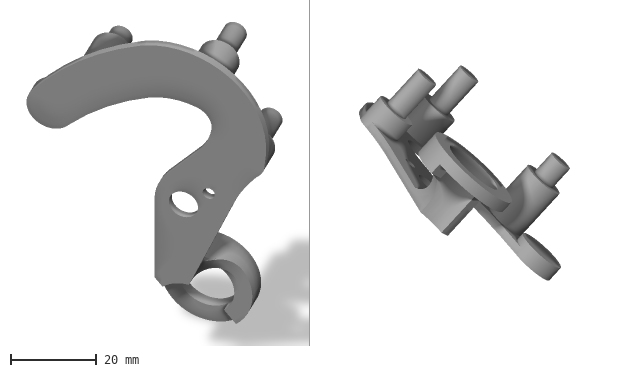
import cadquery as cq
import math

PLATE_THICKNESS = 2.0

RING_OUTER_RADIUS = 12.0
RING_BORE_RADIUS = 7.5
RING_BACK_Y = 18.0
THIN_RING_FRONT_Y = 15.0
THICK_RING_FRONT_Y = 12.0
CLEARANCE_RADIUS = 9.0

ARM_LEFT_X = -7.94
ARM_CORNER_Z = math.sqrt(RING_OUTER_RADIUS**2 - ARM_LEFT_X**2)
ARM_EDGE_LOW = (0.62, CLEARANCE_RADIUS)
ARM_EDGE_HIGH = (12.0, 36.3)

SIDE_BLEND_RADIUS = THICK_RING_FRONT_Y - PLATE_THICKNESS
BACK_BLEND_RADIUS = 7.5
BACK_BLEND_LEFT_LENGTH = RING_BACK_Y - PLATE_THICKNESS
BACK_BLEND_LEFT_HEIGHT = 12.6
BACK_BLEND_RIGHT_X = 4.0
BACK_BLEND_LEFT_STEPS = 4

BEND_RADIUS = 23.6
BEND_CENTER = (-3.73, 53.42)
TIP_RADIUS = 6.0
TIP_CENTER = (-33.85, 51.85)
TIP_THICKNESS = 4.0

HOLES = [
    (-0.75, 32.1, 7.25),
    (5.55, 36.9, 3.0),
]

PIN_SHOULDER_DIAMETER = 10.0
PIN_DIAMETER = 5.7
PINS = [
    (-24.15, 60.2, 15.5, 21.5),
    (4.35, 68.8, 10.6, 21.3),
    (14.5, 48.8, 7.1, 17.9),
]

REACH = 40.0


def front_sketch(y=0):
    """Workplane at a y position whose local axes are X and Z; a negative extrusion runs toward +Y."""
    return cq.Workplane(cq.Plane(origin=(0, y, 0), xDir=(1, 0, 0), normal=(0, -1, 0)))


def cylinder(x, z, radius, y_start, y_end):
    """Cylinder parallel to Y between two y positions."""
    return front_sketch(y_start).center(x, z).circle(radius).extrude(y_start - y_end)


def bend_point(angle):
    """Point on the outer hook bend, angle in degrees from +X."""
    a = math.radians(angle)
    return (BEND_CENTER[0] + BEND_RADIUS * math.cos(a), BEND_CENTER[1] + BEND_RADIUS * math.sin(a))


def tip_point(angle):
    """Point on the round hook tip, angle in degrees from +X."""
    a = math.radians(angle)
    return (TIP_CENTER[0] + TIP_RADIUS * math.cos(a), TIP_CENTER[1] + TIP_RADIUS * math.sin(a))


def hook_plate():
    outline = (
        front_sketch()
        .moveTo(ARM_LEFT_X, ARM_CORNER_Z)
        .lineTo(0, 0)
        .lineTo(ARM_EDGE_LOW[0], 0)
        .lineTo(*ARM_EDGE_LOW)
        .lineTo(*ARM_EDGE_HIGH)
        .threePointArc((14.8, 41.3), bend_point(-18))
        .threePointArc(bend_point(45), bend_point(106.5))
        .lineTo(-12.1, 75.4)
        .threePointArc((-26.5, 67.35), tip_point(141))
        .threePointArc(tip_point(230), tip_point(-39))
        .threePointArc((-19.5, 55.9), (-8.9, 61.25))
        .threePointArc((-3.0, 62.15), (2.5, 61.3))
        .threePointArc((5.5, 59.0), (6.3, 56.2))
        .threePointArc((5.15, 52.2), (2.0, 47.6))
        .lineTo(-4.9, 39.9)
        .tangentArcPoint((ARM_LEFT_X, 32.3), relative=False)
        .close()
    )
    plate = outline.extrude(-PLATE_THICKNESS)
    plate = plate.union(cylinder(*TIP_CENTER, TIP_RADIUS, 0, TIP_THICKNESS))
    for x, z, diameter in HOLES:
        plate = plate.cut(cylinder(x, z, diameter / 2, 0, PLATE_THICKNESS))
    return plate


def stepped_pins():
    pins = cq.Workplane()
    for x, z, shoulder_end, pin_end in PINS:
        shoulder = cylinder(x, z, PIN_SHOULDER_DIAMETER / 2, 0, shoulder_end)
        pins = pins.add(shoulder.union(cylinder(x, z, PIN_DIAMETER / 2, 0, pin_end)))
    return pins.combine()


def back_blend_section(x):
    """Section at x: concave elliptic arc from the plate down to the top of the ring."""
    left_share = max(0, x / ARM_LEFT_X)
    length = BACK_BLEND_RADIUS + left_share * (BACK_BLEND_LEFT_LENGTH - BACK_BLEND_RADIUS)
    height = BACK_BLEND_RADIUS + left_share * (BACK_BLEND_LEFT_HEIGHT - BACK_BLEND_RADIUS)
    ring_top_z = math.sqrt(RING_OUTER_RADIUS**2 - x**2)
    section = (
        cq.Workplane("YZ", origin=(x, 0, 0))
        .moveTo(0, ring_top_z + height)
        .lineTo(PLATE_THICKNESS, ring_top_z + height)
        .ellipseArc(length, height, 180, 270, startAtCurrent=True)
        .lineTo(PLATE_THICKNESS + length, 0)
        .lineTo(0, 0)
        .close()
    )
    return section.val()


def back_blend():
    """Blend on the back of the arm that is round in the middle and gets larger toward the left edge."""
    step = ARM_LEFT_X / BACK_BLEND_LEFT_STEPS
    left_sections = [back_blend_section(step * i) for i in range(BACK_BLEND_LEFT_STEPS, -1, -1)]
    left = cq.Solid.makeLoft(left_sections)
    right = cq.Solid.makeLoft([back_blend_section(0), back_blend_section(BACK_BLEND_RIGHT_X)])
    return cq.Workplane(left).union(cq.Workplane(right))


def side_blend_cutter():
    """Space to the right of the arm, with a concave round toward the thick half of the ring."""
    edge = cq.Vector(ARM_EDGE_HIGH[0] - ARM_EDGE_LOW[0], 0, ARM_EDGE_HIGH[1] - ARM_EDGE_LOW[1]).normalized()
    away = cq.Vector(edge.z, 0, -edge.x)
    origin = cq.Vector(ARM_EDGE_LOW[0], 0, ARM_EDGE_LOW[1]) - edge * REACH
    arc_drop = SIDE_BLEND_RADIUS * math.sqrt(0.5)
    return (
        cq.Workplane(cq.Plane(origin=origin.toTuple(), xDir=away.toTuple(), normal=edge.toTuple()))
        .moveTo(0, 0)
        .lineTo(0, PLATE_THICKNESS)
        .threePointArc(
            (SIDE_BLEND_RADIUS - arc_drop, PLATE_THICKNESS + arc_drop),
            (SIDE_BLEND_RADIUS, THICK_RING_FRONT_Y),
        )
        .lineTo(REACH, THICK_RING_FRONT_Y)
        .lineTo(REACH, 0)
        .close()
        .extrude(2 * REACH)
    )


def lower_left_half():
    """Space in front of the thin half of the ring, bounded by the line to the arm corner."""
    seam = (ARM_LEFT_X / RING_OUTER_RADIUS * REACH, ARM_CORNER_Z / RING_OUTER_RADIUS * REACH)
    return (
        front_sketch()
        .moveTo(*seam)
        .lineTo(-seam[0], -seam[1])
        .lineTo(-seam[0] - seam[1], -seam[1] + seam[0])
        .lineTo(seam[0] - seam[1], seam[1] + seam[0])
        .close()
        .extrude(-THIN_RING_FRONT_Y)
    )


def ring_with_arm_foot():
    ring = cylinder(0, 0, RING_OUTER_RADIUS, 0, RING_BACK_Y)
    return ring.union(back_blend()).cut(side_blend_cutter()).cut(lower_left_half())


def ring_bore():
    clearance = cylinder(0, 0, CLEARANCE_RADIUS, 0, THICK_RING_FRONT_Y)
    return clearance.union(cylinder(0, 0, RING_BORE_RADIUS, 0, RING_BACK_Y))


result = ring_with_arm_foot().union(hook_plate()).union(stepped_pins()).cut(ring_bore())